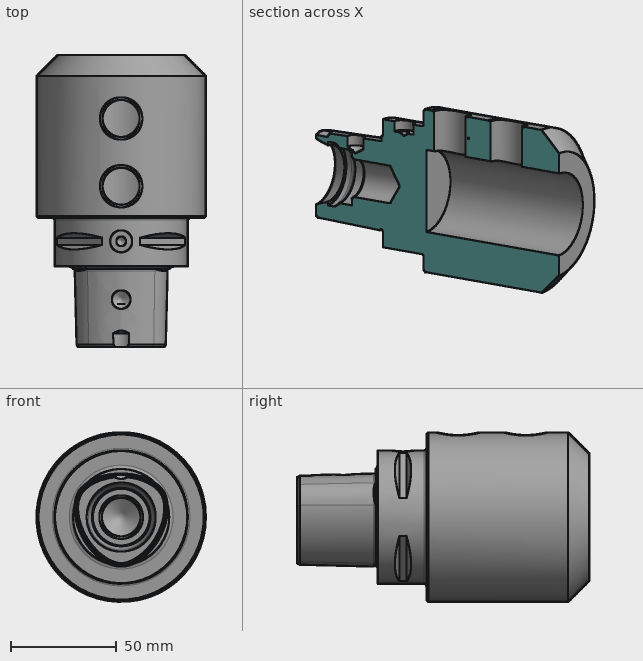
import cadquery as cq
import math


BODY_RADIUS = 40.0
BODY_END = 100.0
BODY_NOSE = 10.0
BODY_BACK = 23.0
BODY_BACK_CHAMFER = 1.0
COLLAR_RADIUS = 31.5
COLLAR_CHAMFER = 0.3
COLLAR_FILLET = 1.0

TOOL_BORE_RADIUS = 20.0
TOOL_BORE_DEPTH = 75.0
FIRST_SCREW_DEPTH = 30.0
SCREW_SPACING = 32.0
SCREW_COUNT = 2
SCREW_RADIUS = 8.75
SCREW_RECESS_RADIUS = 10.0
SCREW_RECESS_DEPTH = 0.25

GROOVE_POSITION = 12.0
GROOVE_FLOOR_DISTANCE = 27.7
GROOVE_FLOOR_WIDTH = 3.3
GROOVE_FLANK_ANGLE = 30.0
GROOVE_COUNT = 4
FIRST_GROOVE_ANGLE = 45.0
CODING_RADIUS = 5.2
CODING_FLOOR = 26.5
CODING_DRILL_RADIUS = 2.3

SHANK_LENGTH = 38.0
SHANK_RADIUS = 22.0
LOBE_HEIGHT = 1.4
LOBE_COUNT = 3
LOBE_PITCH = 360.0 / LOBE_COUNT
FIRST_LOBE_DIRECTION = -90.0
LOBE_HALF_SPAN = 26.0
POINTS_PER_CURVE = 9
TAPER_START = 2.0
TAPER_SLOPE = 1.0 / 40.0
TIP_CHAMFER_LENGTH = 1.4
TIP_CHAMFER_WIDTH = 0.8

ROOT_RADIUS = 22.7
ROOT_FOOT_RADIUS = 24.5
ROOT_HEIGHT = 1.0

MOUTH_RADIUS = 16.3
MOUTH_CHAMFER_LENGTH = 1.5
CONE_RADIUS = 15.5
CONE_END_RADIUS = 13.8
CONE_END_DEPTH = 7.0
UNDERCUT_RADIUS = 15.5
UNDERCUT_EXIT_ANGLE = 39.0
UNDERCUT_CORNER_TANGENT = 1.0
INNER_BORE_RADIUS = 13.4
INNER_BORE_START = 13.5
INNER_BORE_DEPTH = 20.3
THREAD_MOUTH_RADIUS = 10.3
THREAD_RADIUS = 9.1
THREAD_DEPTH = 42.0

CROSS_HOLE_POSITION = -15.5
CROSS_HOLE_RADIUS = 4.4
CROSS_HOLE_FLOOR = 15.0
KEYWAY_RADIUS = 5.2
KEYWAY_AXIS_HEIGHT = 23.2
KEYWAY_LENGTH = 6.4
KEYWAY_END_ANGLE = 52.0

DRILL_HALF_ANGLE = 59.0
CLEARANCE = 5.0


def drill_tip(radius):
    """Height of a drill's conical tip."""
    return radius / math.tan(math.radians(DRILL_HALF_ANGLE))


def turned(profile):
    """Revolve a closed (radius, y) profile wire around the Y axis."""
    return profile.close().revolve(360, (0, 0, 0), (0, 1, 0))


def turned_points(points):
    return turned(cq.Workplane("XY").polyline(points))


def drilled_from_top(y, levels):
    """Cutter around the vertical line at y, with its profile given as (radius, z) points."""
    profile = cq.Workplane("XZ", origin=(0, y, 0)).polyline(levels).close()
    return profile.revolve(360, (0, 0, 0), (0, 1, 0))


def make_body():
    profile = (
        cq.Workplane("XY")
        .moveTo(0, 0)
        .lineTo(COLLAR_RADIUS - COLLAR_CHAMFER, 0)
        .lineTo(COLLAR_RADIUS, COLLAR_CHAMFER)
        .lineTo(COLLAR_RADIUS, BODY_BACK - COLLAR_FILLET)
        .radiusArc((COLLAR_RADIUS + COLLAR_FILLET, BODY_BACK), COLLAR_FILLET)
        .lineTo(BODY_RADIUS - BODY_BACK_CHAMFER, BODY_BACK)
        .lineTo(BODY_RADIUS, BODY_BACK + BODY_BACK_CHAMFER)
        .lineTo(BODY_RADIUS, BODY_END - BODY_NOSE)
        .lineTo(BODY_RADIUS - BODY_NOSE, BODY_END)
        .lineTo(0, BODY_END)
    )
    return turned(profile)


def polygon_point(radius, lobe_direction, offset):
    """Point of the polygon whose normal is turned by offset degrees from a lobe."""
    phase = math.radians(LOBE_COUNT * offset)
    normal = math.radians(lobe_direction + offset)
    support = radius + LOBE_HEIGHT * math.cos(phase)
    slide = -LOBE_COUNT * LOBE_HEIGHT * math.sin(phase)
    x = support * math.cos(normal) - slide * math.sin(normal)
    z = support * math.sin(normal) + slide * math.cos(normal)
    return x, z


def polygon_curve(radius, y, lobe_direction, start, end):
    """Smooth stretch of the polygon between two normal offsets."""
    step = (end - start) / (POINTS_PER_CURVE - 1)
    points = []
    for index in range(POINTS_PER_CURVE):
        x, z = polygon_point(radius, lobe_direction, start + index * step)
        points.append(cq.Vector(x, y, z))
    return cq.Edge.makeSpline(points)


def polygon_wire(radius, y):
    """Closed polygon of three lobes and three flanks in the plane at y."""
    edges = []
    flank_end = LOBE_PITCH - LOBE_HALF_SPAN
    for index in range(LOBE_COUNT):
        direction = FIRST_LOBE_DIRECTION + index * LOBE_PITCH
        edges.append(polygon_curve(radius, y, direction, -LOBE_HALF_SPAN, LOBE_HALF_SPAN))
        edges.append(polygon_curve(radius, y, direction, LOBE_HALF_SPAN, flank_end))
    return cq.Wire.assembleEdges(edges)


def make_shank():
    chamfer_start = SHANK_LENGTH - TIP_CHAMFER_LENGTH
    chamfer_radius = SHANK_RADIUS - TAPER_SLOPE * (chamfer_start - TAPER_START)
    sections = [
        polygon_wire(SHANK_RADIUS, 0),
        polygon_wire(SHANK_RADIUS, -TAPER_START),
        polygon_wire(chamfer_radius, -chamfer_start),
        polygon_wire(chamfer_radius - TIP_CHAMFER_WIDTH, -SHANK_LENGTH),
    ]
    shank = cq.Workplane(cq.Solid.makeLoft(sections, True))
    lobe_radius = SHANK_RADIUS + LOBE_HEIGHT
    lobe_relief = turned_points([
        (ROOT_RADIUS, 0),
        (ROOT_RADIUS, -ROOT_HEIGHT),
        (lobe_radius, -TAPER_START),
        (lobe_radius + CLEARANCE, -TAPER_START),
        (lobe_radius + CLEARANCE, 0),
    ])
    return shank.cut(lobe_relief)


def make_root():
    """Low boss that flares tangentially into the flange face."""
    flare_width = ROOT_FOOT_RADIUS - ROOT_RADIUS
    flare_radius = (flare_width**2 + ROOT_HEIGHT**2) / (2 * ROOT_HEIGHT)
    profile = (
        cq.Workplane("XY")
        .moveTo(0, COLLAR_CHAMFER)
        .lineTo(ROOT_FOOT_RADIUS, COLLAR_CHAMFER)
        .lineTo(ROOT_FOOT_RADIUS, 0)
        .radiusArc((ROOT_RADIUS, -ROOT_HEIGHT), -flare_radius)
        .lineTo(0, -ROOT_HEIGHT)
    )
    return turned(profile)


def tool_bore():
    bore = cq.Workplane("XZ", origin=(0, BODY_END, 0)).circle(TOOL_BORE_RADIUS)
    return bore.extrude(TOOL_BORE_DEPTH)


def screw_hole(y):
    """Screw hole with a shallow rim recess that follows the body's round surface."""
    top = BODY_RADIUS + CLEARANCE
    hole = cq.Workplane("XY", origin=(0, y, 0)).circle(SCREW_RADIUS).extrude(top)
    recess = cq.Workplane("XY", origin=(0, y, 0)).circle(SCREW_RECESS_RADIUS).extrude(top)
    core = cq.Workplane("XZ").circle(BODY_RADIUS - SCREW_RECESS_DEPTH).extrude(-BODY_END)
    return hole.union(recess.cut(core))


def gripper_groove(angle):
    """Straight trapezoidal groove across the collar, facing the given angle in XZ."""
    half_floor = GROOVE_FLOOR_WIDTH / 2
    depth = COLLAR_RADIUS + CLEARANCE - GROOVE_FLOOR_DISTANCE
    half_mouth = half_floor + depth * math.tan(math.radians(GROOVE_FLANK_ANGLE))
    mouth_distance = GROOVE_FLOOR_DISTANCE + depth
    groove = (
        cq.Workplane("XY")
        .polyline([
            (GROOVE_FLOOR_DISTANCE, GROOVE_POSITION - half_floor),
            (GROOVE_FLOOR_DISTANCE, GROOVE_POSITION + half_floor),
            (mouth_distance, GROOVE_POSITION + half_mouth),
            (mouth_distance, GROOVE_POSITION - half_mouth),
        ])
        .close()
        .extrude(COLLAR_RADIUS, both=True)
    )
    half_chord = math.sqrt(COLLAR_RADIUS**2 - GROOVE_FLOOR_DISTANCE**2)
    window = cq.Workplane("XY").box(2 * mouth_distance, 2 * mouth_distance, 2 * half_chord)
    return groove.intersect(window).rotate((0, 0, 0), (0, 1, 0), angle)


def coding_hole():
    return drilled_from_top(GROOVE_POSITION, [
        (0, CODING_FLOOR - drill_tip(CODING_DRILL_RADIUS)),
        (CODING_DRILL_RADIUS, CODING_FLOOR),
        (CODING_RADIUS, CODING_FLOOR),
        (CODING_RADIUS, COLLAR_RADIUS + CLEARANCE),
        (0, COLLAR_RADIUS + CLEARANCE),
    ])


def shank_bore():
    """Clamping cone, rounded undercut, inner bore and tapping hole, from the tip inwards."""
    tip = -SHANK_LENGTH
    cone_end = tip + CONE_END_DEPTH
    inner_start = tip + INNER_BORE_START
    ledge = tip + INNER_BORE_DEPTH
    thread_end = tip + THREAD_DEPTH
    exit_angle = math.radians(UNDERCUT_EXIT_ANGLE)
    corner = inner_start - (UNDERCUT_RADIUS - INNER_BORE_RADIUS) / math.tan(exit_angle)
    arc_end = (
        UNDERCUT_RADIUS - UNDERCUT_CORNER_TANGENT * math.sin(exit_angle),
        corner + UNDERCUT_CORNER_TANGENT * math.cos(exit_angle),
    )
    profile = (
        cq.Workplane("XY")
        .moveTo(0, tip)
        .lineTo(MOUTH_RADIUS, tip)
        .lineTo(CONE_RADIUS, tip + MOUTH_CHAMFER_LENGTH)
        .lineTo(CONE_END_RADIUS, cone_end)
        .lineTo(UNDERCUT_RADIUS, cone_end)
        .lineTo(UNDERCUT_RADIUS, corner - UNDERCUT_CORNER_TANGENT)
        .tangentArcPoint(arc_end, relative=False)
        .lineTo(INNER_BORE_RADIUS, inner_start)
        .lineTo(INNER_BORE_RADIUS, ledge)
        .lineTo(THREAD_MOUTH_RADIUS, ledge)
        .lineTo(THREAD_RADIUS, ledge + THREAD_MOUTH_RADIUS - THREAD_RADIUS)
        .lineTo(THREAD_RADIUS, thread_end)
        .lineTo(0, thread_end + drill_tip(THREAD_RADIUS))
    )
    return turned(profile)


def cross_hole():
    return drilled_from_top(CROSS_HOLE_POSITION, [
        (0, CROSS_HOLE_FLOOR - drill_tip(CROSS_HOLE_RADIUS)),
        (CROSS_HOLE_RADIUS, CROSS_HOLE_FLOOR),
        (CROSS_HOLE_RADIUS, SHANK_RADIUS + CLEARANCE),
        (0, SHANK_RADIUS + CLEARANCE),
    ])


def keyway():
    """Round-bottomed keyway along Y with a conical end."""
    cone_length = KEYWAY_RADIUS / math.tan(math.radians(KEYWAY_END_ANGLE))
    cutter = turned_points([
        (0, 0),
        (KEYWAY_RADIUS, 0),
        (KEYWAY_RADIUS, KEYWAY_LENGTH),
        (0, KEYWAY_LENGTH + cone_length),
    ])
    return cutter.translate((0, -SHANK_LENGTH, KEYWAY_AXIS_HEIGHT))


result = make_body().union(make_shank()).union(make_root())
result = result.cut(tool_bore())
for screw_index in range(SCREW_COUNT):
    screw_position = BODY_END - FIRST_SCREW_DEPTH - screw_index * SCREW_SPACING
    result = result.cut(screw_hole(screw_position))
for groove_index in range(GROOVE_COUNT):
    groove_angle = FIRST_GROOVE_ANGLE + groove_index * 360.0 / GROOVE_COUNT
    result = result.cut(gripper_groove(groove_angle))
result = result.cut(coding_hole()).cut(shank_bore()).cut(cross_hole()).cut(keyway())